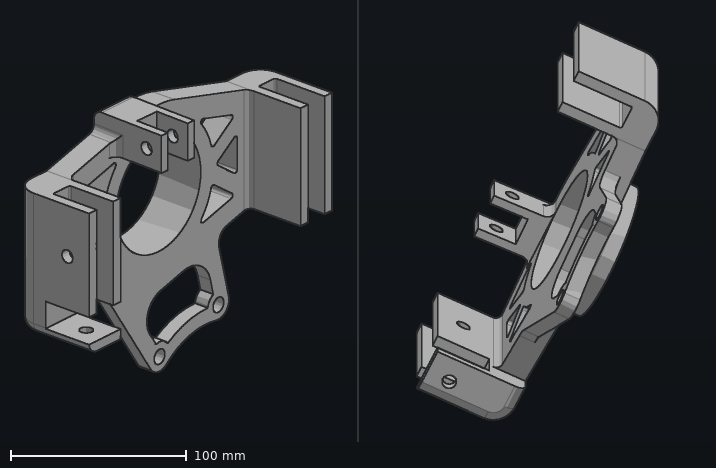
import cadquery as cq
import math


width = 212.0
half_width = width / 2
plate_thickness = 16.5
crown_radius = 55.5
arm_half_height = 37.0
arm_width = 27.5
arm_depth = 55.5
arm_inner_y = half_width - arm_width
arm_middle_y = half_width - arm_width / 2
arm_corner_radius = 13.8
inner_corner_radius = 4.0

clevis_wall = 6.5
slot_width = arm_width - 2 * clevis_wall
slot_corner_radius = 1.3
plus_y_slot_x = 18.5
minus_y_slot_x = 23.0
side_hole_x = 39.2
side_hole_z = 5.0
pin_hole_diameter = 8.0

foot_bottom = -51.7
foot_thickness = 6.4
foot_top = foot_bottom + foot_thickness
foot_gap_top = -28.2
foot_radius = 7.0
foot_hole_x = 41.5

bore_radius = 36.9
ring_radius = 40.3
ring_height = 14.0
ring_fillet = 4.5

lug_y = -23.3
lug_width = 27.5
lug_length = 52.2
lug_top = 60.6
lug_bottom = arm_half_height
lug_angle = -1.5
lug_slot_width = 16.7
lug_slot_x = 28.6
lug_front_radius = 5.7
lug_root_radius = 5.3
lug_hole_x = 40.7
lug_hole_z = 49.0

rib_angle = 35.0
window_corner_radius = 1.7
side_window_outer_y = 68.7
side_window_tip_y = 50.0
upper_window_arc_radius = 48.0
upper_window_edge_offset = 41.3
upper_window_rib_z = -21.6

bracket_front = 6.8
bolt_circle_radius = 103.3
bolt_angles = (30.4, 0.5)
bolt_hole_radius = 4.7
boss_radius = 9.3
bracket_left_angle = 14.0
bracket_right_angle = 33.3
bracket_root_radius = 9.3
scallop_radius = 53.0
band_width = 9.8
bracket_rail = 11.7
window_top_offset = 60.6
bracket_window_left_radius = 19.0
bracket_window_right_radius = 16.0

margin = 2.1
tolerance = 0.2

corner_distance = math.hypot(arm_inner_y, arm_half_height)
tangent_angle = math.atan2(arm_half_height, arm_inner_y) + math.acos(crown_radius / corner_distance)
edge_slope = -1 / math.tan(tangent_angle)


def polar(radius, angle):
    return (radius * math.cos(angle), radius * math.sin(angle))


def shift(point, direction, length):
    return (point[0] + direction[0] * length, point[1] + direction[1] * length)


def crossing(p, u, q, v):
    """Point where the line from p along u meets the line from q along v."""
    det = u[0] * v[1] - u[1] * v[0]
    t = ((q[0] - p[0]) * v[1] - (q[1] - p[1]) * v[0]) / det
    return shift(p, u, t)


def box(x, y, z):
    """Box from (low, high) ranges along each axis."""
    size = (x[1] - x[0], y[1] - y[0], z[1] - z[0])
    return cq.Workplane("XY").box(*size, centered=False).translate((x[0], y[0], z[0]))


def disc(center, radius, start, end):
    """Cylinder along X centred at (Y, Z)."""
    return cq.Workplane("YZ", origin=(start, 0, 0)).center(*center).circle(radius).extrude(end - start)


def edges_in(x, y, z):
    """Selector for edges with their centres inside the given ranges."""
    return cq.selectors.BoxSelector((x[0], y[0], z[0]), (x[1], y[1], z[1]))


def make_plate():
    tangent_y, tangent_z = polar(crown_radius, tangent_angle)
    return (
        cq.Workplane("YZ")
        .moveTo(arm_inner_y, -arm_half_height)
        .lineTo(arm_inner_y, arm_half_height)
        .lineTo(tangent_y, tangent_z)
        .threePointArc((0, crown_radius), (-tangent_y, tangent_z))
        .lineTo(-arm_inner_y, arm_half_height)
        .lineTo(-arm_inner_y, -arm_half_height)
        .lineTo(-tangent_y, -tangent_z)
        .threePointArc((0, -crown_radius), (tangent_y, -tangent_z))
        .close()
        .extrude(plate_thickness)
    )


def make_arm(side, bottom):
    y_range = sorted((side * arm_inner_y, side * half_width))
    arm = box((0, arm_depth), y_range, (bottom, arm_half_height))
    outer_face = ">Y" if side > 0 else "<Y"
    return arm.faces("<X").edges(outer_face).fillet(arm_corner_radius)


def make_slot(side, slot_x, bottom):
    middle = side * arm_middle_y
    y_range = (middle - slot_width / 2, middle + slot_width / 2)
    slot = box((slot_x, arm_depth + margin), y_range, (bottom, arm_half_height + margin))
    return slot.edges("|Z and <X").fillet(slot_corner_radius)


def add_foot(body):
    """Round the bottom edge of the -Y arm and cut the gap that leaves the foot."""
    bottom_edges = edges_in(
        (-margin, arm_depth - margin),
        (-half_width - margin, -arm_inner_y - margin),
        (foot_bottom - tolerance, foot_bottom + tolerance),
    )
    body = body.edges(bottom_edges).fillet(foot_radius)
    gap = box(
        (minus_y_slot_x, arm_depth + margin),
        (-half_width - margin, -arm_inner_y + margin),
        (foot_top, foot_gap_top),
    )
    hole = (
        cq.Workplane("XY", origin=(foot_hole_x, -arm_middle_y, foot_bottom - margin))
        .circle(pin_hole_diameter / 2)
        .extrude(foot_thickness + 2 * margin)
    )
    return body.cut(gap).cut(hole)


def make_lug():
    """Clevis lug standing on the back of the plate; built straight, then turned about Z."""
    half = lug_width / 2
    lug = box((-margin, lug_length), (-half, half), (lug_bottom, lug_top))
    lug = lug.rotate((0, 0, 0), (0, 0, 1), lug_angle).translate((0, lug_y, 0))
    front_space = box((-2 * margin, 0), (lug_y - lug_width, lug_y + lug_width), (0, 2 * lug_top))
    lug = lug.cut(front_space)
    return lug.faces("<X").edges(">Z").fillet(lug_front_radius)


def make_lug_cuts():
    half = lug_slot_width / 2
    slot = box((lug_slot_x, lug_length + margin), (-half, half), (lug_bottom - margin, lug_top + margin))
    hole = (
        cq.Workplane("XZ", origin=(lug_hole_x, lug_width, lug_hole_z))
        .circle(pin_hole_diameter / 2)
        .extrude(2 * lug_width)
    )
    return slot.union(hole).rotate((0, 0, 0), (0, 0, 1), lug_angle).translate((0, lug_y, 0))


def make_ring():
    foot = ring_radius + ring_fillet
    diagonal = ring_fillet * math.sqrt(0.5)
    return (
        cq.Workplane("XY")
        .moveTo(plate_thickness, 0)
        .lineTo(plate_thickness, ring_radius)
        .lineTo(0, foot)
        .threePointArc((-ring_fillet + diagonal, foot - diagonal), (-ring_fillet, ring_radius))
        .lineTo(-ring_height, ring_radius)
        .lineTo(-ring_height, 0)
        .close()
        .revolve(360, (0, 0, 0), (1, 0, 0))
    )


def make_windows():
    """Three triangular windows on each side of the bore."""
    rib_slope = math.tan(math.radians(rib_angle))
    half_height = rib_slope * (side_window_outer_y - side_window_tip_y)
    side_window = (
        cq.Workplane("YZ")
        .polyline([
            (side_window_tip_y, 0),
            (side_window_outer_y, half_height),
            (side_window_outer_y, -half_height),
        ])
        .close()
        .extrude(plate_thickness)
        .edges("|X")
        .fillet(window_corner_radius)
    )

    edge_direction = (1, edge_slope)
    edge_point = polar(upper_window_edge_offset, tangent_angle)
    rib_point = (0, upper_window_rib_z)
    outer_corner = crossing(edge_point, edge_direction, rib_point, (1, rib_slope))
    upper_window = (
        cq.Workplane("YZ")
        .polyline([outer_corner, edge_point, rib_point])
        .close()
        .extrude(plate_thickness)
        .cut(disc((0, 0), upper_window_arc_radius, 0, plate_thickness))
        .edges("|X")
        .fillet(window_corner_radius)
    )

    half_set = side_window.union(upper_window).union(upper_window.mirror("XY"))
    return half_set.union(half_set.mirror("XZ"))


bolt_left, bolt_right = (
    polar(bolt_circle_radius, math.radians(angle - 90)) for angle in bolt_angles
)
left_up = polar(1, math.radians(90 + bracket_left_angle))
right_up = polar(1, math.radians(90 + bracket_right_angle))
left_out = (left_up[1], -left_up[0])
right_out = (-right_up[1], right_up[0])

bolt_span = math.dist(bolt_left, bolt_right)
across = ((bolt_right[0] - bolt_left[0]) / bolt_span, (bolt_right[1] - bolt_left[1]) / bolt_span)
away = (-across[1], across[0])
bolt_middle = shift(bolt_left, across, bolt_span / 2)
scallop_depth = math.sqrt((scallop_radius + boss_radius) ** 2 - (bolt_span / 2) ** 2)
scallop_center = shift(bolt_middle, away, scallop_depth)


def make_bracket():
    root_z = -arm_half_height
    left_base = shift(bolt_left, left_out, boss_radius)
    right_base = shift(bolt_right, right_out, boss_radius)
    left_top = crossing(left_base, left_up, (0, root_z), (1, 0))
    right_top = crossing(right_base, right_up, (0, root_z), (1, 0))
    body = (
        cq.Workplane("YZ", origin=(bracket_front, 0, 0))
        .polyline([left_top, left_base, bolt_left, scallop_center, bolt_right, right_base, right_top])
        .close()
        .extrude(plate_thickness - bracket_front)
    )
    body = body.cut(disc(scallop_center, scallop_radius, bracket_front, plate_thickness))
    for bolt in (bolt_left, bolt_right):
        body = body.union(disc(bolt, boss_radius, bracket_front, plate_thickness))
    return body


def make_bracket_window():
    bottom_z = -bolt_circle_radius
    top_point = polar(window_top_offset, -tangent_angle)
    top_direction = (1, -edge_slope)
    left_point = shift(bolt_left, left_out, boss_radius - bracket_rail)
    right_point = shift(bolt_right, right_out, boss_radius - bracket_rail)
    left_top = crossing(left_point, left_up, top_point, top_direction)
    right_top = crossing(right_point, right_up, top_point, top_direction)
    left_bottom = crossing(left_point, left_up, (0, bottom_z), (1, 0))
    right_bottom = crossing(right_point, right_up, (0, bottom_z), (1, 0))
    window = (
        cq.Workplane("YZ", origin=(bracket_front, 0, 0))
        .polyline([left_bottom, left_top, right_top, right_bottom])
        .close()
        .extrude(plate_thickness - bracket_front)
    )
    window = window.edges("|X and >Z").fillet(bracket_window_left_radius)
    window = window.edges("|X and <Y").fillet(bracket_window_right_radius)
    for center, radius in (
        (bolt_left, boss_radius),
        (bolt_right, boss_radius),
        (scallop_center, scallop_radius + band_width),
    ):
        window = window.cut(disc(center, radius, bracket_front, plate_thickness))
    return window


plate = make_plate()
body = plate.union(make_arm(1, -arm_half_height)).union(make_arm(-1, foot_bottom))
inner_corners = edges_in(
    (plate_thickness - tolerance, plate_thickness + tolerance),
    (-half_width, half_width),
    (-margin, margin),
)
body = body.edges("|Z").edges(inner_corners).fillet(inner_corner_radius)
body = add_foot(body)
body = body.cut(make_slot(1, plus_y_slot_x, -arm_half_height - margin))
body = body.cut(make_slot(-1, minus_y_slot_x, foot_top))
side_hole = (
    cq.Workplane("XZ", origin=(side_hole_x, -arm_inner_y + margin, side_hole_z))
    .circle(pin_hole_diameter / 2)
    .extrude(arm_width + 2 * margin)
)
body = body.cut(side_hole)

body = body.union(make_lug())
lug_sides = edges_in(
    (plate_thickness / 2 - tolerance, plate_thickness + tolerance),
    (lug_y - lug_width / 2 - margin, lug_y + lug_width / 2 + margin),
    (lug_bottom + margin, crown_radius - margin),
)
body = body.edges(lug_sides).fillet(lug_root_radius)
body = body.cut(make_lug_cuts())

body = body.union(make_bracket())
bracket_roots = edges_in(
    (bracket_front, plate_thickness),
    (-arm_inner_y + margin, arm_inner_y - margin),
    (-crown_radius + margin, -arm_half_height - margin),
)
body = body.edges("|X").edges(bracket_roots).fillet(bracket_root_radius)
body = body.cut(make_bracket_window())
for bolt in (bolt_left, bolt_right):
    body = body.cut(disc(bolt, bolt_hole_radius, bracket_front, plate_thickness))

body = body.union(make_ring())
body = body.cut(disc((0, 0), bore_radius, -ring_height, plate_thickness))
result = body.cut(make_windows())